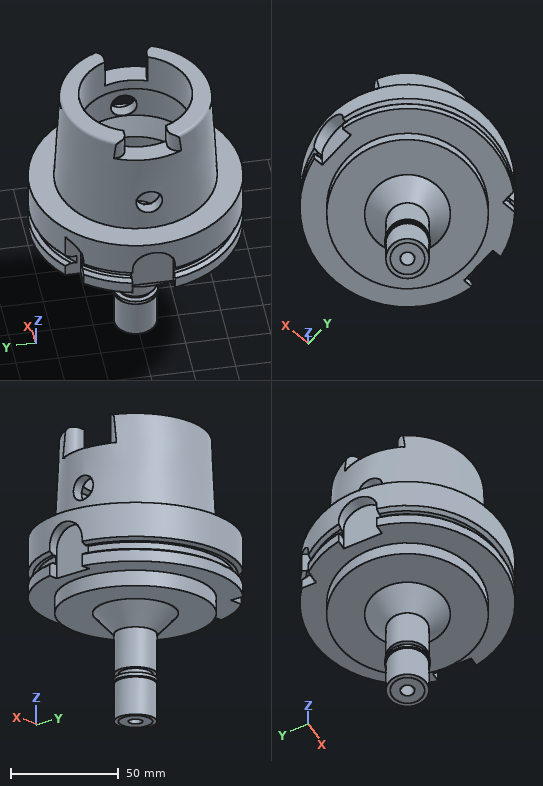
import cadquery as cq
import math


taper_length = 50.0
taper_base_diameter = 75.9
taper_ratio = 0.1
taper_top_diameter = taper_base_diameter - taper_ratio * taper_length
rim_fillet = 1.8

bore_diameter = 52.8
bore_depth = 20.2
chamber_diameter = 63.0
chamber_depth = 41.0
cavity_depth = 61.5
shoulder_angle = 30
shoulder_height = (chamber_diameter - bore_diameter) / 2 / math.tan(math.radians(shoulder_angle))

drive_slot_width = 20.0
near_slot_depth = 9.5
far_slot_depth = 14.8
lug_half_length = 32.2
lug_corner_radius = 5.0

cross_hole_diameter = 12.2
cross_hole_depth = 34.7

flange_diameter = 100.0
flange_height = 29.0
groove_diameter = 91.7
groove_bevel_width = 2.2
groove_bevel_height = 1.3
groove_top = 16.8
groove_height = 6.5

pocket_width = 20.0
pocket_top = 5.0
key_pocket_floor = 44.0
notch_floor = 31.5
notch_wall = 31.4

pilot_diameter = 75.0
pilot_height = 7.5
stem_diameter = 20.0
stem_length = 19.7
cone_height = 10.4
cone_top_diameter = 39.8

thread_bore_diameter = 24.2
thread_bore_depth = 15.4
stem_bore_diameter = 12.2
coolant_diameter = 6.6

pin_diameter = 16.0
pin_socket_depth = 14.0
neck_gap = 2.8
collar_diameter = 21.0
collar_height = 1.7
collar_chamfer = (collar_diameter - stem_diameter) / 2

total_height = 140.0

rim_z = taper_length
bottom_z = rim_z - total_height
cavity_floor_z = rim_z - cavity_depth
thread_bore_floor_z = cavity_floor_z - thread_bore_depth
pilot_bottom_z = -flange_height - pilot_height
stem_top_z = pilot_bottom_z - cone_height
stem_bottom_z = stem_top_z - stem_length
pin_top_z = stem_bottom_z + pin_socket_depth
sleeve_top_z = stem_bottom_z - neck_gap


def cylinder(diameter, bottom, top):
    return cq.Workplane("XY", origin=(0, 0, bottom)).circle(diameter / 2).extrude(top - bottom)


def revolve_profile(points):
    """Revolve a closed outline of (radius, Z) points about the Z axis."""
    return cq.Workplane("XZ").polyline(points).close().revolve(360, (0, 0, 0), (0, 1, 0))


def taper_shank():
    """Solid taper with a rounded rim."""
    shank = revolve_profile([
        (0, 0),
        (taper_base_diameter / 2, 0),
        (taper_top_diameter / 2, rim_z),
        (0, rim_z),
    ])
    return shank.faces(">Z").edges().fillet(rim_fillet)


def flange_and_stem():
    """Grooved flange, pilot disc, cone and stem in one turned shape."""
    flange_radius = flange_diameter / 2
    groove_radius = groove_diameter / 2
    bevel_radius = flange_radius - groove_bevel_width
    groove_bottom = groove_top + groove_height
    return revolve_profile([
        (0, 0),
        (flange_radius, 0),
        (flange_radius, -groove_top),
        (bevel_radius, -groove_top - groove_bevel_height),
        (groove_radius, -groove_top - groove_bevel_height),
        (groove_radius, -groove_bottom + groove_bevel_height),
        (bevel_radius, -groove_bottom + groove_bevel_height),
        (flange_radius, -groove_bottom),
        (flange_radius, -flange_height),
        (pilot_diameter / 2, -flange_height),
        (pilot_diameter / 2, pilot_bottom_z),
        (cone_top_diameter / 2, pilot_bottom_z),
        (stem_diameter / 2, stem_top_z),
        (stem_diameter / 2, stem_bottom_z),
        (0, stem_bottom_z),
    ])


def shank_cavity():
    """Bore that widens to a chamber, then narrows at a conical shoulder to a flat floor."""
    bore_radius = bore_diameter / 2
    chamber_radius = chamber_diameter / 2
    chamber_top_z = rim_z - bore_depth
    chamber_bottom_z = rim_z - chamber_depth
    return revolve_profile([
        (0, rim_z),
        (bore_radius, rim_z),
        (bore_radius, chamber_top_z),
        (chamber_radius, chamber_top_z),
        (chamber_radius, chamber_bottom_z),
        (bore_radius, chamber_bottom_z - shoulder_height),
        (bore_radius, cavity_floor_z),
        (0, cavity_floor_z),
    ])


def drive_slot(side, depth):
    """Slot in the rim on one X side (-1 or +1); it leaves lugs with rounded outer corners."""
    clearance = flange_diameter
    floor_z = rim_z - depth
    slab = cq.Workplane("XY", origin=(side * clearance / 2, 0, floor_z)).rect(
        clearance, clearance).extrude(depth)
    lug_length = 2 * lug_half_length
    lug_reach = clearance / 2
    lug_center_y = drive_slot_width / 2 + lug_reach / 2
    for lug_side in (-1, 1):
        lug = cq.Workplane("XY", origin=(0, lug_side * lug_center_y, floor_z)).rect(
            lug_length, lug_reach).extrude(depth).edges("|Z").fillet(lug_corner_radius)
        slab = slab.cut(lug)
    return slab


def cross_hole():
    length = flange_diameter
    return cq.Workplane("YZ", origin=(-length / 2, 0, rim_z - cross_hole_depth)).circle(
        cross_hole_diameter / 2).extrude(length)


def flange_pocket(side, floor, center_y):
    """Round-topped pocket facing X, open at the bottom of the flange and outward from its floor."""
    radius = pocket_width / 2
    arc_z = -pocket_top - radius
    return (
        cq.Workplane("YZ", origin=(side * floor, 0, 0))
        .moveTo(center_y - radius, -flange_height)
        .lineTo(center_y - radius, arc_z)
        .threePointArc((center_y, -pocket_top), (center_y + radius, arc_z))
        .lineTo(center_y + radius, -flange_height)
        .close()
        .extrude(side * flange_diameter / 2)
    )


def make_holder():
    """Holder with taper shank, flange, cone and stem, and a socket for the pin."""
    holder = taper_shank().union(flange_and_stem())
    holder = holder.cut(shank_cavity())
    holder = holder.cut(drive_slot(-1, near_slot_depth))
    holder = holder.cut(drive_slot(1, far_slot_depth))
    holder = holder.cut(cross_hole())
    for side in (-1, 1):
        holder = holder.cut(flange_pocket(side, key_pocket_floor, 0))
    holder = holder.cut(flange_pocket(-1, notch_floor, notch_wall + pocket_width / 2))
    holder = holder.cut(cylinder(thread_bore_diameter, thread_bore_floor_z, cavity_floor_z))
    holder = holder.cut(cylinder(stem_bore_diameter, pin_top_z, thread_bore_floor_z))
    return holder.cut(cylinder(pin_diameter, stem_bottom_z, pin_top_z))


def make_pin():
    """Hollow pin that joins the stem to the sleeve."""
    pin = cylinder(pin_diameter, bottom_z, pin_top_z)
    return pin.cut(cylinder(coolant_diameter, bottom_z, pin_top_z))


def make_sleeve():
    """Sleeve around the lower end of the pin, with a chamfered collar at its top."""
    sleeve_radius = stem_diameter / 2
    collar_radius = collar_diameter / 2
    collar_bottom_z = sleeve_top_z - collar_height
    pin_radius = pin_diameter / 2
    return revolve_profile([
        (pin_radius, bottom_z),
        (sleeve_radius, bottom_z),
        (sleeve_radius, collar_bottom_z - collar_chamfer),
        (collar_radius, collar_bottom_z),
        (collar_radius, sleeve_top_z),
        (pin_radius, sleeve_top_z),
    ])


holder = make_holder()
pin = make_pin()
sleeve = make_sleeve()

result = cq.Compound.makeCompound([holder.val(), pin.val(), sleeve.val()])